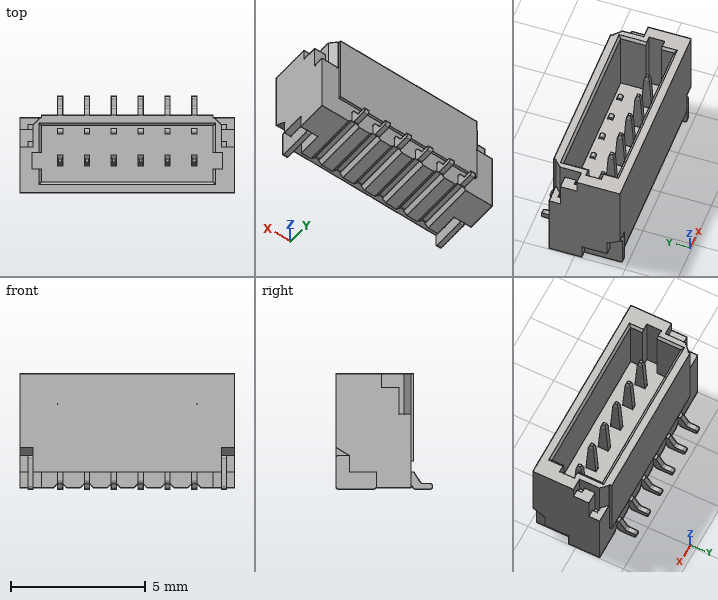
import cadquery as cq
import math


length = 8.0
total_height = 4.3
total_depth = 3.6

body_depth = 2.8
board_gap = 0.05
back_panel_width = 6.4
back_panel_depth = 2.9
back_panel_bottom = 1.05
overhang_height = 0.65
front_foot_setback = 0.5
corner_recess_width = 0.8
corner_recess_depth = 1.5

cavity_width = 6.4
cavity_front = 0.4
cavity_back = 2.5
cavity_floor = 1.65
rim_chamfer = 0.1
key_slot_span = 7.1
key_slot_front = 0.9
key_slot_back = 1.5

corner_step_width = 0.5
upper_ledge_front = 1.7
upper_ledge_height = 3.8
lower_ledge_front = 2.35
lower_ledge_height = 2.8
corner_chamfer = 0.26
ledge_pit_size = 0.2
ledge_pit_depth = 0.2

pin_count = 6
pin_pitch = 1.0
pin_thickness = 0.2
pin_underside = 0.2
pin_shoulder = 2.9
pin_corner_radius = 0.11
tail_thickness = 0.22
tail_angle = math.radians(58)
tail_heel = 2.78
tail_bend_radius = 0.1
tail_end_radius = 0.1
post_center = 1.2
post_root = 0.42
post_neck = 0.22
post_tip = 0.1
post_taper_height = 1.52
post_point_height = 0.2
peg_center = 2.29
peg_width = 0.2

tab_thickness = 0.2
tab_inset = 0.3
tab_height = 1.26
tab_radius = 0.1
tab_relief_angle = math.radians(31)

tab_inner_inset = tab_inset + tab_thickness
half_length = length / 2
pin_places = [(i - (pin_count - 1) / 2) * pin_pitch for i in range(pin_count)]


def box(x_range, y_range, z_range):
    """Axis-aligned block between the given limits."""
    (x0, x1), (y0, y1), (z0, z1) = x_range, y_range, z_range
    return cq.Workplane("XY").box(x1 - x0, y1 - y0, z1 - z0, centered=False).translate((x0, y0, z0))


def side_profile(x_start):
    """Sketch plane at X = x_start with local axes along Y and Z; it extrudes toward +X."""
    return cq.Workplane("YZ", origin=(x_start, 0, 0))


def mirrored_pair(shape):
    """A feature at the -X end together with its mirror image at the +X end."""
    return shape.union(shape.mirror("YZ"))


def round_corner(shape, edge_middle, radius):
    """Fillet the edge whose middle lies at the given point."""
    return shape.edges(cq.selectors.NearestToPointSelector(edge_middle)).fillet(radius)


def make_pin(x_center):
    """Flat stamped contact: a bar with a tapered post, a round-topped peg and a solder tail."""
    slope_run_per_rise = 1 / math.tan(tail_angle)
    crook = pin_shoulder + (overhang_height - tail_thickness) * slope_run_per_rise
    heel = tail_heel + pin_underside * slope_run_per_rise
    start = x_center - pin_thickness / 2

    bar = (
        side_profile(start)
        .moveTo(front_foot_setback, pin_underside)
        .lineTo(tail_heel, pin_underside)
        .lineTo(heel, 0)
        .lineTo(total_depth, 0)
        .lineTo(total_depth, tail_thickness)
        .lineTo(crook, tail_thickness)
        .lineTo(pin_shoulder, overhang_height)
        .lineTo(front_foot_setback, overhang_height)
        .close()
        .extrude(pin_thickness)
    )
    for y, z, radius in (
        (front_foot_setback, pin_underside, pin_corner_radius),
        (heel, 0, tail_bend_radius),
        (crook, tail_thickness, tail_bend_radius),
        (total_depth, 0, tail_end_radius),
        (total_depth, tail_thickness, tail_end_radius),
    ):
        bar = round_corner(bar, (x_center, y, z), radius)

    neck_height = cavity_floor + post_taper_height
    post = (
        side_profile(start)
        .moveTo(post_center - post_root / 2, pin_underside)
        .lineTo(post_center + post_root / 2, pin_underside)
        .lineTo(post_center + post_root / 2, cavity_floor)
        .lineTo(post_center + post_neck / 2, neck_height)
        .lineTo(post_center - post_neck / 2, neck_height)
        .lineTo(post_center - post_root / 2, cavity_floor)
        .close()
        .extrude(pin_thickness)
    )
    point = (
        cq.Workplane("XY", origin=(x_center, post_center, neck_height))
        .rect(pin_thickness, post_neck)
        .workplane(offset=post_point_height)
        .rect(post_tip, post_tip)
        .loft(ruled=True)
    )

    peg = (
        side_profile(start)
        .moveTo(peg_center - peg_width / 2, pin_underside)
        .lineTo(peg_center + peg_width / 2, pin_underside)
        .lineTo(peg_center + peg_width / 2, cavity_floor)
        .threePointArc(
            (peg_center, cavity_floor + peg_width / 2),
            (peg_center - peg_width / 2, cavity_floor),
        )
        .close()
        .extrude(pin_thickness)
    )
    return bar.union(post).union(point).union(peg)


def make_tab(x_start):
    """L-shaped solder tab standing in the recess at one front corner of the housing."""
    tab = (
        side_profile(x_start)
        .lineTo(corner_recess_depth, 0)
        .lineTo(corner_recess_depth, overhang_height)
        .lineTo(front_foot_setback, overhang_height)
        .lineTo(front_foot_setback, tab_height)
        .lineTo(0, tab_height)
        .close()
        .extrude(tab_thickness)
    )
    x_middle = x_start + tab_thickness / 2
    for y, z in ((0, 0), (corner_recess_depth, 0), (0, tab_height)):
        tab = round_corner(tab, (x_middle, y, z), tab_radius)
    return tab


def housing_shell():
    """Outer block with the raised panel on its back."""
    half_panel = back_panel_width / 2
    block = box((-half_length, half_length), (0, body_depth), (board_gap, total_height))
    panel = box(
        (-half_panel, half_panel),
        (body_depth, back_panel_depth),
        (back_panel_bottom, total_height),
    )
    return block.union(panel)


def mating_cavity():
    """Pocket open at the top, with a chamfered rim and a keying slot at each end."""
    depth = total_height - cavity_floor
    cavity_span = cavity_back - cavity_front
    center_y = (cavity_front + cavity_back) / 2
    pocket = (
        cq.Workplane("XY", origin=(0, center_y, cavity_floor))
        .rect(cavity_width, cavity_span)
        .extrude(depth)
    )
    rim = (
        cq.Workplane("XY", origin=(0, center_y, total_height - rim_chamfer))
        .rect(cavity_width, cavity_span)
        .workplane(offset=rim_chamfer)
        .rect(cavity_width + 2 * rim_chamfer, cavity_span + 2 * rim_chamfer)
        .loft(ruled=True)
    )
    key_slots = box(
        (-key_slot_span / 2, key_slot_span / 2),
        (key_slot_front, key_slot_back),
        (cavity_floor, total_height),
    )
    return pocket.union(rim).union(key_slots)


def rear_corner_steps():
    """Two descending ledges, a chamfered corner and a square pit in each ledge, at both ends."""
    wall = corner_step_width - half_length
    upper = box((-half_length, wall), (upper_ledge_front, body_depth), (upper_ledge_height, total_height))
    lower = box((-half_length, wall), (lower_ledge_front, body_depth), (lower_ledge_height, total_height))
    chamfer = (
        cq.Workplane("XY", origin=(0, 0, lower_ledge_height))
        .moveTo(wall, body_depth)
        .lineTo(wall, body_depth - corner_chamfer)
        .lineTo(wall + corner_chamfer, body_depth)
        .close()
        .extrude(total_height - lower_ledge_height)
    )
    steps = upper.union(lower).union(chamfer)
    for front, height in (
        (upper_ledge_front, upper_ledge_height),
        (lower_ledge_front, lower_ledge_height),
    ):
        pit = box(
            (wall - ledge_pit_size, wall),
            (front, front + ledge_pit_size),
            (height - ledge_pit_depth, height),
        )
        steps = steps.union(pit)
    return mirrored_pair(steps)


def underside_recesses():
    """Setback under the front wall, deeper at both ends."""
    front = box((-half_length, half_length), (0, front_foot_setback), (0, overhang_height))
    corner = box(
        (-half_length, corner_recess_width - half_length),
        (0, corner_recess_depth),
        (0, overhang_height),
    )
    return front.union(mirrored_pair(corner))


def tab_reliefs():
    """Notches with a sloping roof in the front corners, above the solder tabs."""
    roof_rise = front_foot_setback * math.tan(tab_relief_angle)
    notch = (
        side_profile(-half_length)
        .lineTo(front_foot_setback, 0)
        .lineTo(front_foot_setback, tab_height)
        .lineTo(0, tab_height + roof_rise)
        .close()
        .extrude(tab_inner_inset)
    )
    return mirrored_pair(notch)


def pin_groove(x_center):
    """Flared groove along the underside; its parallel top clears the contact's rounded corner."""
    groove_top = pin_underside + pin_corner_radius
    half_top = pin_thickness / 2
    half_bottom = half_top + pin_underside - board_gap
    return (
        cq.Workplane("XZ", origin=(x_center, 0, 0))
        .moveTo(-half_bottom, board_gap)
        .lineTo(half_bottom, board_gap)
        .lineTo(half_top, pin_underside)
        .lineTo(half_top, groove_top)
        .lineTo(-half_top, groove_top)
        .lineTo(-half_top, pin_underside)
        .close()
        .extrude(-body_depth)
    )


pins = [make_pin(x) for x in pin_places]
tabs = [make_tab(x) for x in (tab_inset - half_length, half_length - tab_inner_inset)]

housing = housing_shell()
for cutter in (mating_cavity(), rear_corner_steps(), underside_recesses(), tab_reliefs()):
    housing = housing.cut(cutter)
for x, pin in zip(pin_places, pins):
    housing = housing.cut(pin_groove(x)).cut(pin)

result = cq.Compound.makeCompound(
    [housing.val(), *(pin.val() for pin in pins), *(tab.val() for tab in tabs)]
)